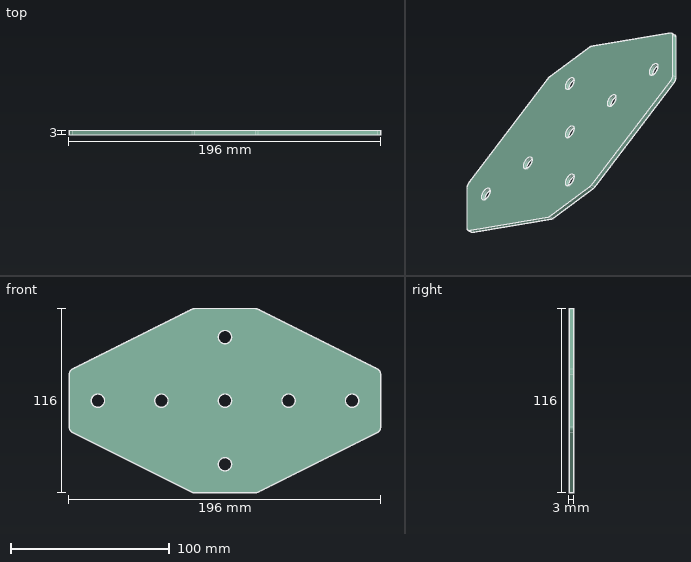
import cadquery as cq

length = 196.0
height = 116.0
thickness = 3.0

top_edge = 40.0
side_edge = 38.0
corner_radius = 4.0

hole_pitch = 40.0
hole_diameter = 8.2
hole_positions = [(step * hole_pitch, 0) for step in range(-2, 3)]
hole_positions += [(0, -hole_pitch), (0, hole_pitch)]


def octagon_plate():
    """Flat plate in the XZ plane, centred on the origin, with rounded corners."""
    half_length = length / 2
    half_height = height / 2
    half_top = top_edge / 2
    half_side = side_edge / 2
    corners = [
        (half_top, half_height),
        (half_length, half_side),
        (half_length, -half_side),
        (half_top, -half_height),
        (-half_top, -half_height),
        (-half_length, -half_side),
        (-half_length, half_side),
        (-half_top, half_height),
    ]
    plate = cq.Workplane("XZ").polyline(corners).close().extrude(thickness / 2, both=True)
    return plate.edges("|Y").fillet(corner_radius)


def hole_cutters():
    """Cylinders that pass through the whole plate thickness."""
    holes = cq.Workplane("XZ").pushPoints(hole_positions).circle(hole_diameter / 2)
    return holes.extrude(thickness, both=True)


result = octagon_plate().cut(hole_cutters())